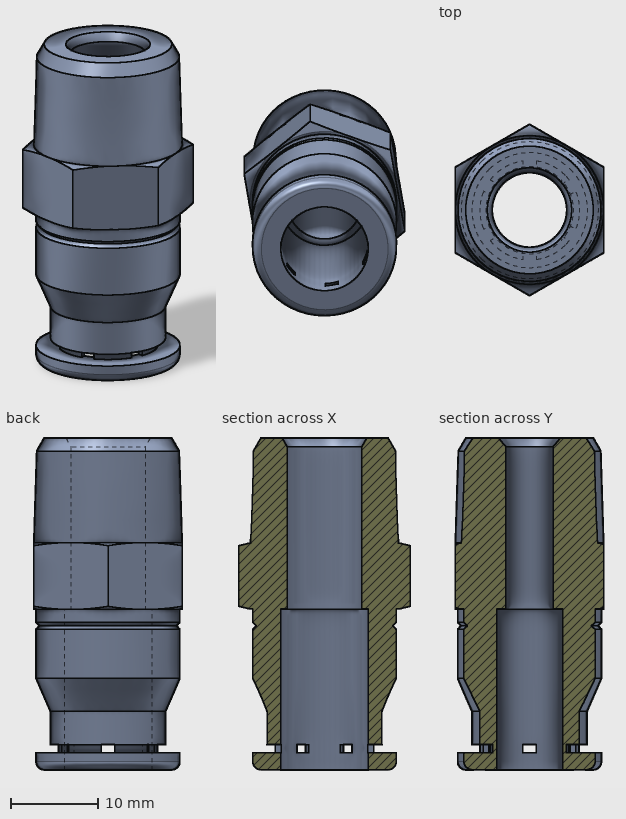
import cadquery as cq
import math

collar_top = 2.0
body_bottom = 2.9
neck_top = 6.7
cone_top = 10.5
groove_bottom = 16.1
groove_depth = 0.4
groove_top = groove_bottom + 2 * groove_depth
hex_bottom = 18.4
hex_top = 26.0
total_height = 38.0

collar_diameter = 16.5
collar_fillet = 1.0
neck_diameter = 13.2
body_diameter = 16.5
hex_sides = 6
hex_across_flats = 17.0
hex_face_diameter = 17.2
hex_chamfer_angle = 15.0

thread_base_diameter = 17.0
thread_taper = 1 / 16
thread_chamfer_height = 1.5
end_chamfer_angle = 30.0

sleeve_diameter = 11.4
slot_count = 6
slot_width = 1.5

flow_bore_diameter = 8.5
tube_bore_diameter = 10.0
tube_bore_depth = hex_bottom
mouth_chamfer_height = 1.0


def make_turned_body():
    """Revolve the round outline: collar, sleeve, neck, grooved body and tapered thread."""
    collar_radius = collar_diameter / 2
    sleeve_radius = sleeve_diameter / 2
    neck_radius = neck_diameter / 2
    body_radius = body_diameter / 2
    thread_base_radius = thread_base_diameter / 2
    thread_end = total_height - thread_chamfer_height
    thread_end_radius = thread_base_radius - (thread_end - hex_top) * thread_taper / 2
    tip_radius = thread_end_radius - thread_chamfer_height * math.tan(math.radians(end_chamfer_angle))
    fillet_centre_radius = collar_radius - collar_fillet
    fillet_diagonal = collar_fillet * math.sqrt(0.5)
    fillet_middle = (fillet_centre_radius + fillet_diagonal, collar_fillet - fillet_diagonal)

    outline = (
        cq.Workplane("XZ")
        .lineTo(fillet_centre_radius, 0)
        .threePointArc(fillet_middle, (collar_radius, collar_fillet))
        .lineTo(collar_radius, collar_top)
        .lineTo(sleeve_radius, collar_top)
        .lineTo(sleeve_radius, body_bottom)
        .lineTo(neck_radius, body_bottom)
        .lineTo(neck_radius, neck_top)
        .lineTo(body_radius, cone_top)
        .lineTo(body_radius, groove_bottom)
        .lineTo(body_radius - groove_depth, groove_bottom + groove_depth)
        .lineTo(body_radius, groove_top)
        .lineTo(body_radius, hex_top)
        .lineTo(thread_base_radius, hex_top)
        .lineTo(thread_end_radius, thread_end)
        .lineTo(tip_radius, total_height)
        .lineTo(0, total_height)
        .close()
    )
    return outline.revolve(360, (0, 0, 0), (0, 1, 0))


def make_hex():
    """Wrench hexagon with flats facing +X and -X and conically chamfered corners."""
    flat_radius = hex_across_flats / 2
    corner_radius = flat_radius / math.cos(math.pi / hex_sides)
    prism = (
        cq.Workplane("XY", origin=(0, 0, hex_bottom))
        .polygon(hex_sides, 2 * corner_radius)
        .extrude(hex_top - hex_bottom)
        .rotate((0, 0, 0), (0, 0, 1), 180 / hex_sides)
    )
    face_radius = hex_face_diameter / 2
    chamfer_drop = (corner_radius - face_radius) * math.tan(math.radians(hex_chamfer_angle))
    chamfer_envelope = (
        cq.Workplane("XZ")
        .moveTo(0, hex_bottom)
        .lineTo(face_radius, hex_bottom)
        .lineTo(corner_radius, hex_bottom + chamfer_drop)
        .lineTo(corner_radius, hex_top - chamfer_drop)
        .lineTo(face_radius, hex_top)
        .lineTo(0, hex_top)
        .close()
        .revolve(360, (0, 0, 0), (0, 1, 0))
    )
    return prism.intersect(chamfer_envelope)


def make_bore():
    """Stepped through bore: tube socket below, flow bore and chamfered mouth above."""
    flow_radius = flow_bore_diameter / 2
    mouth_radius = flow_radius + mouth_chamfer_height * math.tan(math.radians(end_chamfer_angle))
    tube_radius = tube_bore_diameter / 2
    return (
        cq.Workplane("XZ")
        .lineTo(tube_radius, 0)
        .lineTo(tube_radius, tube_bore_depth)
        .lineTo(flow_radius, tube_bore_depth)
        .lineTo(flow_radius, total_height - mouth_chamfer_height)
        .lineTo(mouth_radius, total_height)
        .lineTo(0, total_height)
        .close()
        .revolve(360, (0, 0, 0), (0, 1, 0))
    )


def cut_collet_slots(part):
    """Cut evenly spaced radial slots through the exposed collet sleeve."""
    slot_length = sleeve_diameter / 2
    slot = cq.Workplane("XY", origin=(0, 0, collar_top)).box(
        slot_length, slot_width, body_bottom - collar_top, centered=(False, True, False)
    )
    first_angle = 180 / slot_count
    for index in range(slot_count):
        angle = first_angle + index * 360 / slot_count
        part = part.cut(slot.rotate((0, 0, 0), (0, 0, 1), angle))
    return part


fitting = make_turned_body().union(make_hex()).cut(make_bore())
result = cut_collet_slots(fitting)